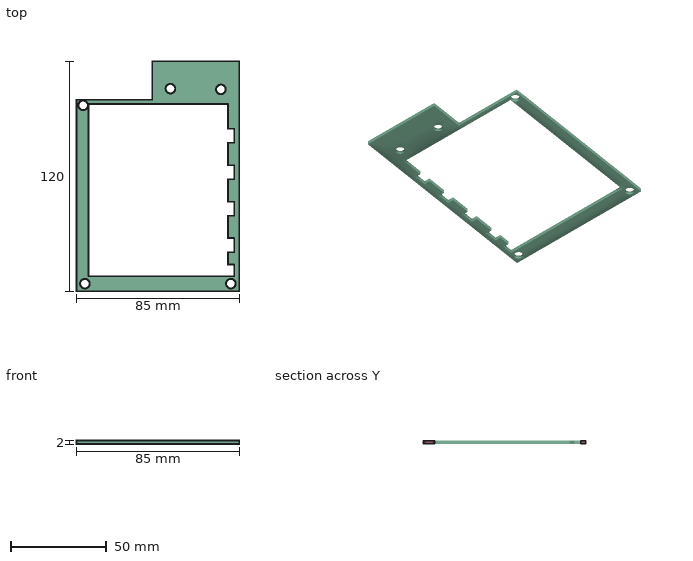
import cadquery as cq

PLATE_WIDTH = 85.0
PLATE_LENGTH = 120.0
THICKNESS = 2.0

TAB_WIDTH = 45.5
TAB_LENGTH = 20.0
FRAME_LENGTH = PLATE_LENGTH - TAB_LENGTH

LEFT_RAIL = 6.3
RIGHT_RAIL = 6.0
BOTTOM_RAIL = 8.0
TOP_RAIL = 2.4

NOTCH_DEPTH = 3.2
NOTCH_LENGTH = 7.2
NOTCH_PITCH = 19.0
NOTCH_COUNT = 4
FIRST_NOTCH_BOTTOM = 20.5
CORNER_NOTCH_LENGTH = 6.0

HOLE_DIAMETER = 4.9
FRAME_HOLES = [(4.4, 4.0), (80.5, 4.0), (3.5, 97.0)]
TAB_HOLES = [(49.0, 105.7), (75.3, 105.3)]

WINDOW_RIGHT = PLATE_WIDTH - RIGHT_RAIL
WINDOW_TOP = FRAME_LENGTH - TOP_RAIL


def block(left, bottom, width, length):
    """Full-thickness rectangular block placed by its lower left corner."""
    return cq.Workplane("XY").box(width, length, THICKNESS, centered=False).translate((left, bottom, 0))


def make_plate():
    """Frame rectangle with the mounting tab at its upper right."""
    frame = block(0, 0, PLATE_WIDTH, FRAME_LENGTH)
    tab = block(PLATE_WIDTH - TAB_WIDTH, FRAME_LENGTH, TAB_WIDTH, TAB_LENGTH)
    return frame.union(tab)


def make_window():
    """Window opening together with the notches along its right side."""
    window = block(LEFT_RAIL, BOTTOM_RAIL, WINDOW_RIGHT - LEFT_RAIL, WINDOW_TOP - BOTTOM_RAIL)
    window = window.union(block(WINDOW_RIGHT, BOTTOM_RAIL, NOTCH_DEPTH, CORNER_NOTCH_LENGTH))
    for index in range(NOTCH_COUNT):
        notch_bottom = FIRST_NOTCH_BOTTOM + index * NOTCH_PITCH
        window = window.union(block(WINDOW_RIGHT, notch_bottom, NOTCH_DEPTH, NOTCH_LENGTH))
    return window


def make_holes():
    """Cylinders that cut the frame and tab holes."""
    centers = FRAME_HOLES + TAB_HOLES
    return cq.Workplane("XY").pushPoints(centers).circle(HOLE_DIAMETER / 2).extrude(THICKNESS)


result = make_plate().cut(make_window()).cut(make_holes())